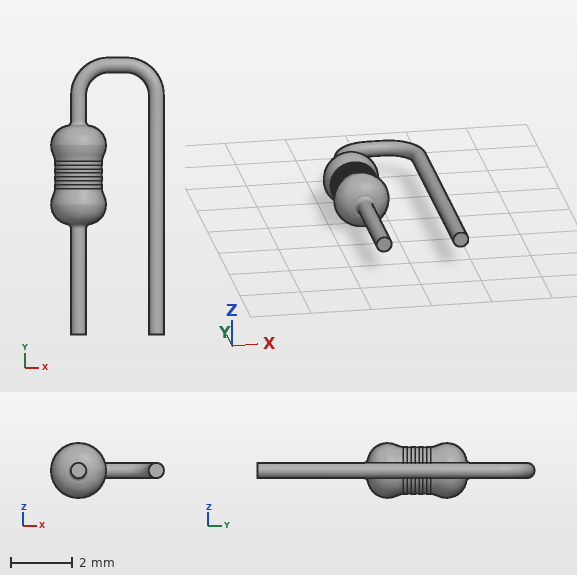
import cadquery as cq
import math

total_length = 9.05
total_width = 3.69
wire_radius = 0.5 / 2
head_radius = 1.8 / 2
barrel_radius = 1.53 / 2
band_radius = 1.55 / 2

lead_spacing = total_width - head_radius - wire_radius
bend_radius = 1.0
top_y = total_length - wire_radius
bend_start_y = top_y - bend_radius

body_center_y = 5.21
band_count = 4
band_pitch = 0.25
band_width = band_pitch / 2
barrel_half_length = ((band_count - 1) * band_pitch + band_width) / 2
head_center = 0.97
head_arc_radius = 0.65
head_inner_offset = 0.27
rim_radius = 0.4
collar_radius = rim_radius - wire_radius


def head_surface_radius(offset):
    """Radius of a rounded head at an axial offset from its widest place."""
    return head_radius - head_arc_radius + math.sqrt(head_arc_radius**2 - offset**2)


def make_wire():
    """Round wire bent into a hook with one long and one short lead."""
    corner = bend_radius * math.sqrt(0.5)
    path = (
        cq.Workplane("XY")
        .lineTo(0, bend_start_y)
        .threePointArc((bend_radius - corner, bend_start_y + corner), (bend_radius, top_y))
        .lineTo(lead_spacing - bend_radius, top_y)
        .threePointArc(
            (lead_spacing - bend_radius + corner, bend_start_y + corner),
            (lead_spacing, bend_start_y),
        )
        .lineTo(lead_spacing, 0)
    )
    return cq.Workplane("XZ").circle(wire_radius).sweep(path)


def make_half_body():
    """Half of the revolved body, from its middle to the collar on the wire."""
    rim_offset = math.sqrt(head_arc_radius**2 - (rim_radius - head_radius + head_arc_radius) ** 2)
    rim_y = head_center + rim_offset
    collar_y = rim_y + collar_radius
    collar_drop = collar_radius * (1 - math.sqrt(0.5))
    outer_mid_offset = rim_offset / 2
    neck_y = head_center - head_inner_offset
    profile = (
        cq.Workplane("XY")
        .lineTo(0, collar_y)
        .lineTo(wire_radius, collar_y)
        .threePointArc((wire_radius + collar_drop, rim_y + collar_drop), (rim_radius, rim_y))
        .threePointArc(
            (head_surface_radius(outer_mid_offset), head_center + outer_mid_offset),
            (head_radius, head_center),
        )
        .tangentArcPoint((head_surface_radius(head_inner_offset), neck_y), relative=False)
        .tangentArcPoint((barrel_radius, barrel_half_length), relative=False)
        .lineTo(barrel_radius, 0)
        .close()
    )
    return profile.revolve(360, (0, 0), (0, 1))


def make_band(index):
    """One slightly raised ring around the barrel."""
    start_y = -barrel_half_length + index * band_pitch
    band = cq.Workplane("XZ").circle(band_radius).extrude(-band_width)
    return band.translate((0, start_y, 0))


half_body = make_half_body()
body = half_body.union(half_body.mirror("XZ"))
for band_index in range(band_count):
    body = body.union(make_band(band_index))

result = make_wire().union(body.translate((0, body_center_y, 0)))